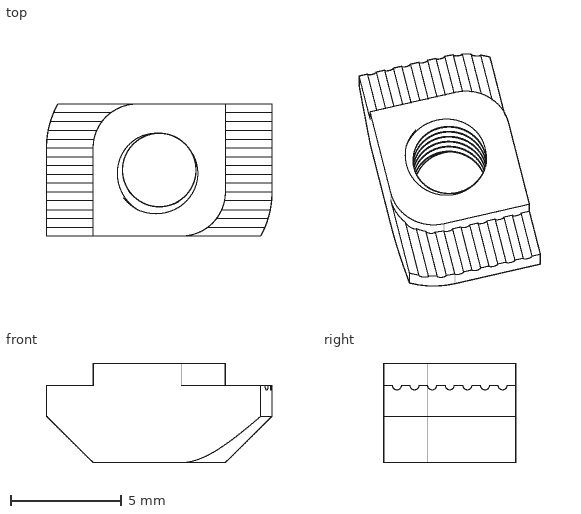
import cadquery as cq
import math

LENGTH = 10.25
WIDTH = 6.0
HEIGHT = 4.5

SHOULDER_Z = 3.51
BEVEL_TOP_Z = 2.1
BASE_LENGTH = 6.01
CORNER_RADIUS = 2.0

GROOVE_COUNT = 7
GROOVE_PITCH = 0.8
GROOVE_RADIUS = 0.2

MINOR_RADIUS = 3.33 / 2
MAJOR_RADIUS = 4.11 / 2
THREAD_PITCH = 0.7
THREAD_GROOVE_WIDTH = 0.62
THREAD_OVERLAP = 0.02
THREAD_TOP_ANGLE = 241.0

half_length = LENGTH / 2
half_width = WIDTH / 2
half_base = BASE_LENGTH / 2
corner_x = -half_base + CORNER_RADIUS
corner_y = half_width - CORNER_RADIUS


def box_between(x0, x1, y0, y1, z0, z1):
    return cq.Workplane("XY").box(x1 - x0, y1 - y0, z1 - z0, centered=False).translate((x0, y0, z0))


def half_turn(solid):
    return solid.rotate((0, 0, 0), (0, 0, 1), 180)


def wing_profile(inner_x):
    """Bevelled section of the -X wing, from inner_x out to the tip."""
    return (
        cq.Workplane("XZ")
        .moveTo(inner_x, 0)
        .lineTo(-half_base, 0)
        .lineTo(-half_length, BEVEL_TOP_Z)
        .lineTo(-half_length, SHOULDER_Z)
        .lineTo(inner_x, SHOULDER_Z)
        .close()
    )


def body_half():
    """The -X half of the body: straight wing plus a corner turned about the corner axis."""
    straight = wing_profile(0).extrude(half_width + corner_y).translate((0, corner_y, 0))
    middle = box_between(corner_x, 0, corner_y, half_width, 0, SHOULDER_Z)
    turned = wing_profile(corner_x).revolve(360, (corner_x, 0), (corner_x, 1)).translate((0, corner_y, 0))
    quadrant = box_between(-half_length, corner_x, corner_y, half_width, 0, SHOULDER_Z)
    return straight.union(middle).union(turned.intersect(quadrant))


def grip_grooves():
    first_y = -GROOVE_PITCH * (GROOVE_COUNT - 1) / 2
    centers = [(first_y + i * GROOVE_PITCH, SHOULDER_Z) for i in range(GROOVE_COUNT)]
    return cq.Workplane("YZ").pushPoints(centers).circle(GROOVE_RADIUS).extrude(half_length, both=True)


def boss():
    """Nearly square block, full height, with two opposite corners rounded."""
    block = cq.Workplane("XY").rect(BASE_LENGTH, WIDTH).extrude(HEIGHT)
    block = block.edges("|Z and <X and >Y").fillet(CORNER_RADIUS)
    return block.edges("|Z and >X and <Y").fillet(CORNER_RADIUS)


def thread_cutter():
    """Right-handed V groove that runs out past both ends of the bore."""
    turns_to_top = math.ceil(HEIGHT / THREAD_PITCH) + 1
    path = cq.Wire.makeHelix(THREAD_PITCH, (turns_to_top + 1) * THREAD_PITCH, MINOR_RADIUS)
    half_groove = THREAD_GROOVE_WIDTH / 2
    inner_radius = MINOR_RADIUS - THREAD_OVERLAP
    section = cq.Workplane("XZ").polyline(
        [
            (inner_radius, -half_groove),
            (MAJOR_RADIUS, 0),
            (inner_radius, half_groove),
        ]
    ).close()
    cutter = section.sweep(cq.Workplane(path), isFrenet=True)
    cutter = cutter.rotate((0, 0, 0), (0, 0, 1), THREAD_TOP_ANGLE)
    return cutter.translate((0, 0, HEIGHT - turns_to_top * THREAD_PITCH))


half = body_half()
body = half.union(half_turn(half)).cut(grip_grooves())
boss_bottom = SHOULDER_Z - GROOVE_RADIUS
upper_boss = boss().intersect(
    box_between(-half_length, half_length, -half_width, half_width, boss_bottom, HEIGHT)
)
bore = cq.Workplane("XY").circle(MINOR_RADIUS).extrude(2 * HEIGHT, both=True)
result = body.union(upper_boss).cut(thread_cutter()).cut(bore)